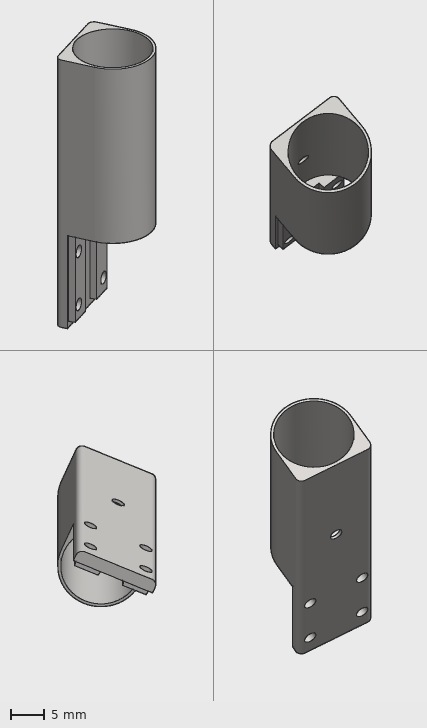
import cadquery as cq

length = 46.0
depth = 13.05
width = 13.0
tube_length = 30.0
bore_diameter = 12.1
corner_radius = 1.0

plate_thickness = 2.0
pad_height = 1.0
pad_gap = 3.75
pad_taper = 0.15
pad_side_inset = 0.5
pad_bottom_inset = 1.0

hole_diameter = 2.0
mount_spacing = 9.1
lower_mount_z = 3.45
center_hole_z = 27.5

outer_radius = width / 2
axis_x = depth - outer_radius
tail_length = length - tube_length


def make_tube():
    """D-shaped sleeve: flat back with rounded corners and a round front."""
    back = cq.Workplane("XY").box(axis_x, width, tube_length, centered=(False, True, False))
    back = back.edges("|Z and <X").fillet(corner_radius)
    front = cq.Workplane("XY").center(axis_x, 0).circle(outer_radius).extrude(tube_length)
    bore = cq.Workplane("XY").center(axis_x, 0).circle(bore_diameter / 2).extrude(tube_length)
    return back.union(front).cut(bore).translate((0, 0, tail_length))


def make_plate():
    """Flat tail that continues the back of the sleeve downward."""
    plate = cq.Workplane("XY").box(plate_thickness, width, tail_length, centered=(False, True, False))
    return plate.edges("|Z and <X").fillet(corner_radius)


def make_pad(side):
    """Raised pad on one side of the plate, narrowing away from it and ending under the sleeve."""
    inner_y = pad_gap / 2
    outer_y = width / 2 - pad_side_inset
    tip_x = plate_thickness + pad_height
    profile = [
        (plate_thickness, side * inner_y),
        (tip_x, side * (inner_y + pad_taper)),
        (tip_x, side * (outer_y - pad_taper)),
        (plate_thickness, side * outer_y),
    ]
    pad = cq.Workplane("XY").polyline(profile).close().extrude(tail_length - pad_bottom_inset)
    return pad.translate((0, 0, pad_bottom_inset))


def make_hole(y, z, hole_depth):
    """Cutter for a round hole entering from the flat back."""
    return (
        cq.Workplane("YZ")
        .center(y, z)
        .circle(hole_diameter / 2)
        .extrude(hole_depth)
    )


result = make_tube().union(make_plate())
for side in (-1, 1):
    result = result.union(make_pad(side))

for side in (-1, 1):
    for z in (lower_mount_z, lower_mount_z + mount_spacing):
        result = result.cut(make_hole(side * mount_spacing / 2, z, plate_thickness + pad_height))

result = result.cut(make_hole(0, center_hole_z, axis_x))